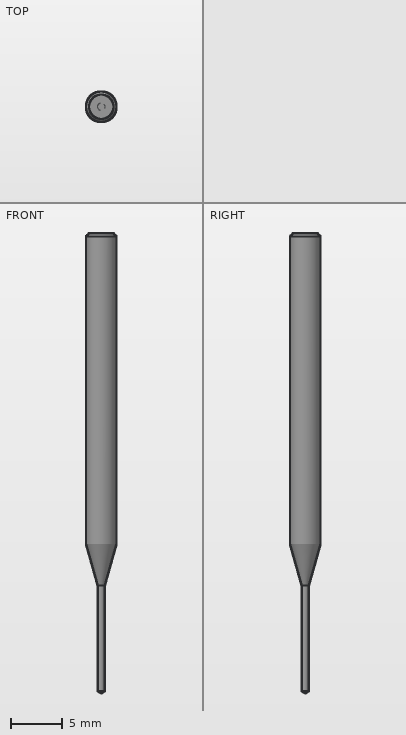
import cadquery as cq

overall_length = 45.0
shank_diameter = 3.0
shank_chamfer = 0.3
taper_length = 4.05
pin_diameter = 0.7
pin_length = 10.55
tip_height = 0.22

shank_radius = shank_diameter / 2
pin_radius = pin_diameter / 2
taper_top = pin_length + taper_length
chamfer_start = overall_length - shank_chamfer


def make_shank():
    """Round shank, chamfered on top and tapering down to the pin diameter."""
    return (
        cq.Workplane("YZ")
        .moveTo(0, pin_length)
        .lineTo(-pin_radius, pin_length)
        .lineTo(-shank_radius, taper_top)
        .lineTo(-shank_radius, chamfer_start)
        .lineTo(-(shank_radius - shank_chamfer), overall_length)
        .lineTo(0, overall_length)
        .close()
        .revolve(360, (0, 0), (0, 1))
    )


def make_pin():
    """Slim pin with a conical point, butting against the end of the taper."""
    return (
        cq.Workplane("XZ")
        .moveTo(0, 0)
        .lineTo(-pin_radius, tip_height)
        .lineTo(-pin_radius, pin_length)
        .lineTo(0, pin_length)
        .close()
        .revolve(360, (0, 0), (0, 1))
    )


shank = make_shank()
pin = make_pin()

result = cq.Compound.makeCompound([shank.val(), pin.val()])